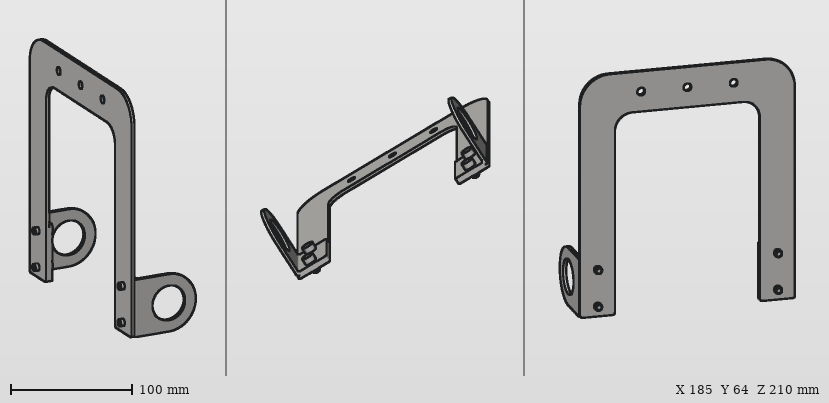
import cadquery as cq

frame_width = 185.0
frame_height = 210.0
total_depth = 64.0
sheet = 3.0

leg_width = 30.0
top_bar_height = 35.0
outer_radius = 25.0
inner_radius = 15.0
foot_radius = 2.0
mount_hole_diameter = 6.5
mount_hole_spacing = 40.0
mount_hole_drop = 17.6

bracket_height = 50.2
ring_hole_diameter = 30.2
bend_outer_radius = 2.0
bend_inner_radius = 1.3

screw_diameter = 6.0
screw_tip_length = 4.2
screw_tip_chamfer = 0.8
screw_head_diameter = 10.0
screw_head_height = 5.7
screw_spacing = 32.0

half_width = frame_width / 2
ring_radius = bracket_height / 2
bracket_back = total_depth - screw_tip_length
ring_center_y = bracket_back - ring_radius
flange_back = 2 * sheet
screw_x = half_width - leg_width / 2


def make_frame():
    """Flat U-shaped plate with rounded corners and a row of holes in the top bar."""
    opening_width = frame_width - 2 * leg_width
    opening_height = frame_height - top_bar_height
    plate = cq.Workplane("XY").box(frame_width, sheet, frame_height, centered=(True, False, False))
    plate = plate.edges("|Y and >Z").fillet(outer_radius)
    opening = cq.Workplane("XY").box(opening_width, sheet, opening_height, centered=(True, False, False))
    opening = opening.edges("|Y and >Z").fillet(inner_radius)
    frame = plate.cut(opening)
    frame = frame.edges("|Y and <Z").fillet(foot_radius)
    hole_z = frame_height - mount_hole_drop
    for step in (-1, 0, 1):
        hole = cq.Workplane("XZ", origin=(step * mount_hole_spacing, 0, hole_z))
        frame = frame.cut(hole.circle(mount_hole_diameter / 2).extrude(-sheet))
    return frame


def make_bracket():
    """Right-hand bracket: a flange behind the leg, bent back into a round-ended ear with a hole."""
    flange = (
        cq.Workplane("XY", origin=(half_width - leg_width, sheet, 0))
        .box(leg_width, sheet, bracket_height, centered=False)
        .edges("|Y and <X")
        .fillet(foot_radius)
    )
    ear = (
        cq.Workplane("YZ", origin=(half_width - sheet, 0, 0))
        .moveTo(sheet, 0)
        .lineTo(ring_center_y, 0)
        .threePointArc((bracket_back, ring_radius), (ring_center_y, bracket_height))
        .lineTo(sheet, bracket_height)
        .close()
        .extrude(sheet)
    )
    ring_hole = (
        cq.Workplane("YZ", origin=(half_width - sheet, ring_center_y, ring_radius))
        .circle(ring_hole_diameter / 2)
        .extrude(sheet)
    )
    bracket = flange.union(ear).cut(ring_hole)
    outer_bend = cq.selectors.NearestToPointSelector((half_width, sheet, ring_radius))
    inner_bend = cq.selectors.NearestToPointSelector((half_width - sheet, flange_back, ring_radius))
    bracket = bracket.edges("|Z").edges(outer_bend).fillet(bend_outer_radius)
    return bracket.edges("|Z").edges(inner_bend).fillet(bend_inner_radius)


def make_screw(center_z):
    """Screw through leg and flange, with its head behind and its chamfered tip in front."""
    shank = (
        cq.Workplane("XZ", origin=(screw_x, -screw_tip_length, center_z))
        .circle(screw_diameter / 2)
        .extrude(-(screw_tip_length + flange_back))
        .faces("<Y")
        .chamfer(screw_tip_chamfer)
    )
    head = (
        cq.Workplane("XZ", origin=(screw_x, flange_back, center_z))
        .circle(screw_head_diameter / 2)
        .extrude(-screw_head_height)
    )
    return shank.union(head)


right_side = make_bracket()
for direction in (-1, 1):
    right_side = right_side.union(make_screw(ring_radius + direction * screw_spacing / 2))

result = make_frame().union(right_side).union(right_side.mirror("YZ"))